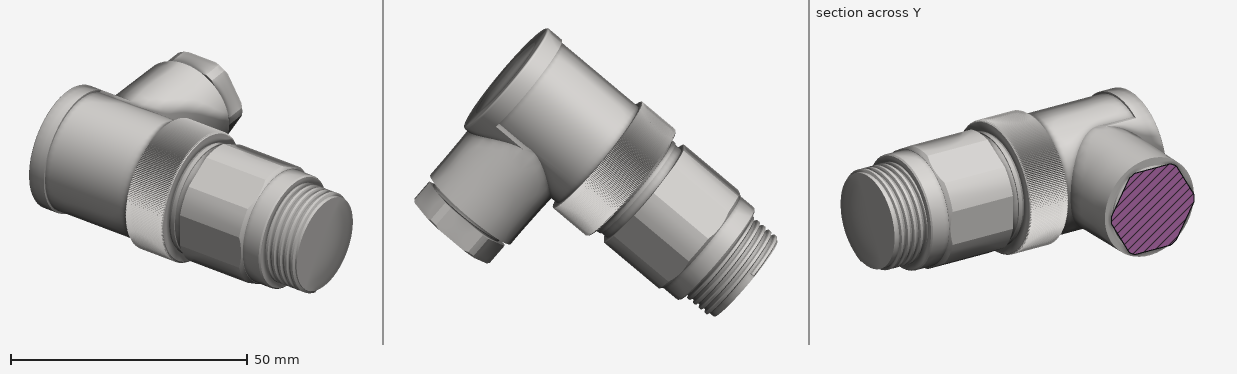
import math

import cadquery as cq


CAP_FACE_X = 1.0
CAP_END_X = 5.0
CAP_RADIUS = 13.85
CAP_FILLET = 0.45
CROWN_RADIUS = 9.7
BODY_RADIUS = 13.35

RING_START_X = 26.6
RING_END_X = 36.1
RING_RADIUS = 14.7
RING_CHAMFER = 0.4
KNURL_DEPTH = 0.35
KNURL_TEETH = 240

NECK_RADIUS = 12.2
BEAD_START_X = 36.7
BEAD_END_X = 37.6
BEAD_RADIUS = 12.5

HEX_START_X = 39.45
HEX_END_X = 55.4
HEX_ACROSS_FLATS = 26.0
HEX_CORNER_RADIUS = 13.55
HEX_CHAMFER = 0.75
COLLAR_END_X = 59.75
COLLAR_RADIUS = 12.7
COLLAR_CHAMFER = 0.3

THREAD_END_X = 67.73
THREAD_RADIUS = 11.1
THREAD_ROOT_RADIUS = 10.5
THREAD_PITCH = 1.6
THREAD_CREST_WIDTH = 0.55
THREAD_ROOT_WIDTH = 1.1
RIDGE_OVERLAP = 0.1
THREAD_RUNOUT = 0.6

BRANCH_X = 13.7
BRANCH_END_Y = 26.4
BRANCH_END_RADIUS = 11.25
BRANCH_BASE_RADIUS = 11.6
PAD_HALF_HEIGHT = 11.45

NUT_START_Y = 27.6
NUT_END_Y = 32.8
NUT_ACROSS_FLATS = 19.0
NUT_CORNER_RADIUS = 10.5
NUT_CHAMFER = 0.4
NUT_THREAD_ROOT_RADIUS = 8.9
NUT_THREAD_RADIUS = 9.4
NUT_THREAD_START_Y = 25.0
NUT_THREAD_LENGTH = 3.0
NUT_CORE_OVERLAP = 2.0


def x_cylinder(start, end, radius):
    return cq.Workplane("YZ", origin=(start, 0, 0)).circle(radius).extrude(end - start)


def y_cylinder(start, end, radius):
    plane = cq.Workplane("XZ", origin=(BRANCH_X, start, 0))
    return plane.circle(radius).extrude(start - end)


def hexagon_diameter(across_flats):
    return across_flats / math.cos(math.pi / 6)


def make_cap():
    rim = x_cylinder(CAP_FACE_X, CAP_END_X, CAP_RADIUS).faces("<X").edges().fillet(CAP_FILLET)
    crown_profile = (
        cq.Workplane("XY")
        .moveTo(CAP_FACE_X, 0)
        .lineTo(CAP_FACE_X, CROWN_RADIUS)
        .radiusArc((0, 0), -(CROWN_RADIUS**2 + CAP_FACE_X**2) / (2 * CAP_FACE_X))
        .close()
    )
    crown = crown_profile.revolve(360, (0, 0, 0), (1, 0, 0))
    return rim.union(crown)


def make_knurled_ring():
    length = RING_END_X - RING_START_X
    half_step = math.pi / KNURL_TEETH
    outline = []
    for i in range(2 * KNURL_TEETH):
        radius = RING_RADIUS - KNURL_DEPTH * (i % 2)
        outline.append((radius * math.cos(i * half_step), radius * math.sin(i * half_step)))
    teeth = cq.Workplane("YZ", origin=(RING_START_X, 0, 0)).polyline(outline).close().extrude(length)
    envelope = x_cylinder(RING_START_X, RING_END_X, RING_RADIUS).faces(">X").chamfer(RING_CHAMFER)
    return teeth.intersect(envelope)


def make_neck():
    neck = x_cylinder(RING_END_X, HEX_START_X, NECK_RADIUS)
    return neck.union(x_cylinder(BEAD_START_X, BEAD_END_X, BEAD_RADIUS))


def make_wrench_hexagon():
    hexagon = (
        cq.Workplane("YZ", origin=(HEX_START_X, 0, 0))
        .transformed(rotate=(0, 0, 30))
        .polygon(6, hexagon_diameter(HEX_ACROSS_FLATS))
        .extrude(HEX_END_X - HEX_START_X)
    )
    envelope = x_cylinder(HEX_START_X, HEX_END_X, HEX_CORNER_RADIUS).faces(">X").chamfer(HEX_CHAMFER)
    return hexagon.intersect(envelope)


def make_collar():
    collar = x_cylinder(HEX_END_X, COLLAR_END_X, COLLAR_RADIUS)
    return collar.faces(">X").chamfer(COLLAR_CHAMFER)


def helical_ridge(root_radius, crest_radius, length):
    """Thread ridge that winds up the Z axis from Z = 0, its foot sunk into the core."""
    foot_radius = root_radius - RIDGE_OVERLAP
    half_root = THREAD_ROOT_WIDTH / 2
    half_crest = THREAD_CREST_WIDTH / 2
    helix = cq.Wire.makeHelix(THREAD_PITCH, length, foot_radius)
    return (
        cq.Workplane("XZ")
        .moveTo(foot_radius, -half_root)
        .lineTo(crest_radius, -half_crest)
        .lineTo(crest_radius, half_crest)
        .lineTo(foot_radius, half_root)
        .close()
        .sweep(cq.Workplane(helix), isFrenet=True)
    )


def make_thread():
    core = x_cylinder(COLLAR_END_X, THREAD_END_X, THREAD_ROOT_RADIUS)
    start = COLLAR_END_X - THREAD_ROOT_WIDTH / 2
    length = THREAD_END_X - THREAD_RUNOUT - start
    ridge = helical_ridge(THREAD_ROOT_RADIUS, THREAD_RADIUS, length)
    return core.union(ridge.rotate((0, 0, 0), (0, 1, 0), 90).translate((start, 0, 0)))


def make_branch():
    return (
        cq.Workplane("XY", origin=(BRANCH_X, 0, 0))
        .polyline([(0, 0), (BRANCH_BASE_RADIUS, 0), (BRANCH_END_RADIUS, BRANCH_END_Y), (0, BRANCH_END_Y)])
        .close()
        .revolve(360, (0, 0, 0), (0, 1, 0))
    )


def make_pad():
    length = BRANCH_X - CAP_END_X
    block = cq.Workplane("XY").box(
        length, CAP_RADIUS, 2 * PAD_HALF_HEIGHT, centered=(False, False, True)
    )
    return x_cylinder(CAP_END_X, BRANCH_X, CAP_RADIUS).intersect(block.translate((CAP_END_X, 0, 0)))


def make_nut():
    hexagon = (
        cq.Workplane("XZ", origin=(BRANCH_X, NUT_START_Y, 0))
        .polygon(6, hexagon_diameter(NUT_ACROSS_FLATS))
        .extrude(NUT_START_Y - NUT_END_Y)
    )
    envelope = y_cylinder(NUT_START_Y, NUT_END_Y, NUT_CORNER_RADIUS).faces(">Y").chamfer(NUT_CHAMFER)
    core_start = BRANCH_END_Y - NUT_CORE_OVERLAP
    core_end = NUT_START_Y + NUT_CORE_OVERLAP
    core = y_cylinder(core_start, core_end, NUT_THREAD_ROOT_RADIUS)
    ridge = helical_ridge(NUT_THREAD_ROOT_RADIUS, NUT_THREAD_RADIUS, NUT_THREAD_LENGTH)
    ridge = ridge.rotate((0, 0, 0), (1, 0, 0), -90).translate((BRANCH_X, NUT_THREAD_START_Y, 0))
    return core.union(ridge).union(hexagon.intersect(envelope))


result = (
    x_cylinder(CAP_END_X, RING_START_X, BODY_RADIUS)
    .union(make_cap().union(make_pad()))
    .union(make_branch())
    .union(make_nut())
    .union(make_knurled_ring())
    .union(make_neck())
    .union(make_wrench_hexagon())
    .union(make_collar())
    .union(make_thread())
)